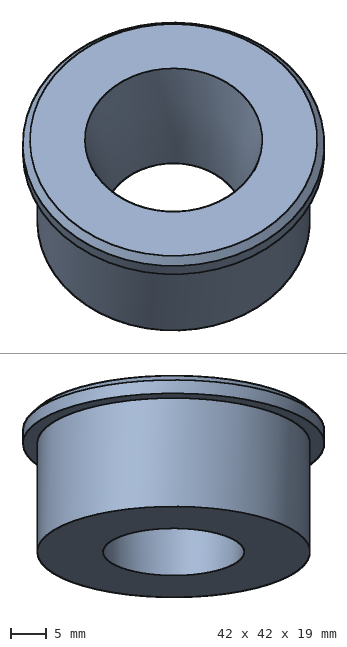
import cadquery as cq

head_diameter = 42.0
body_diameter = 38.0
total_height = 19.0
head_thickness = 3.0
head_chamfer = 1.0
bore_diameter = 19.65
mouth_diameter = 24.7

head_bottom = total_height - head_thickness
bore_radius = bore_diameter / 2
mouth_radius = mouth_diameter / 2

flare_width = mouth_radius - bore_radius
flare_radius = (total_height**2 + flare_width**2) / (2 * flare_width)

body = cq.Workplane("XY").circle(body_diameter / 2).extrude(head_bottom)

head = (
    cq.Workplane("XY", origin=(0, 0, head_bottom))
    .circle(head_diameter / 2)
    .extrude(head_thickness)
    .faces(">Z")
    .edges()
    .chamfer(head_chamfer)
)

bore = (
    cq.Workplane("XZ")
    .lineTo(bore_radius, 0)
    .radiusArc((mouth_radius, total_height), flare_radius)
    .lineTo(0, total_height)
    .close()
    .revolve(360, (0, 0, 0), (0, 1, 0))
)

result = body.union(head).cut(bore)